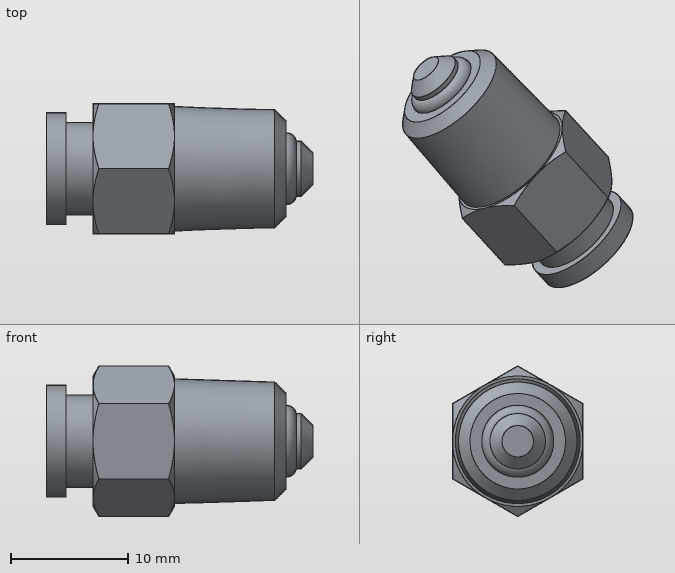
import cadquery as cq
import math

cap_end = 0.0
flange_end = 1.68
hex_start = 3.98
hex_end = 10.9
taper_end = 19.45
body_end = 20.43
ring_end = 21.3
tip_end = 22.73

flange_radius = 4.77
neck_radius = 3.95

across_flats = 11.11
hex_chamfer_angle = 30.0
taper_start_radius = 5.32
taper_end_radius = 5.05
shank_chamfer = body_end - taper_end
shank_face_radius = taper_end_radius - shank_chamfer

ring_radius = 3.07
tip_radius = 2.36
tip_chamfer = 1.02
ring_width = ring_end - body_end
ring_height = ring_radius - tip_radius
ring_round = (ring_width**2 + ring_height**2) / (2 * ring_height)
tip_cone_start = tip_end - tip_chamfer

flat_radius = across_flats / 2
corner_radius = flat_radius / math.cos(math.radians(30))
hex_chamfer_length = (corner_radius - flat_radius) * math.tan(math.radians(hex_chamfer_angle))


def revolve_about_x(profile):
    """Turn an XZ half profile, drawn above the axis, into a round solid."""
    return profile.revolve(360, (0, 0, 0), (1, 0, 0))


def turned(points):
    """Round solid from (x, radius) points of a straight-sided profile."""
    return revolve_about_x(cq.Workplane("XZ").polyline(points).close())


def make_cap():
    """Flanged cap whose neck meets the hexagon."""
    return turned([
        (cap_end, 0),
        (cap_end, flange_radius),
        (flange_end, flange_radius),
        (flange_end, neck_radius),
        (hex_start, neck_radius),
        (hex_start, 0),
    ])


def make_hexagon():
    """Hexagon with corners at +Z and -Z, its corners cut by a cone at both ends."""
    prism = (
        cq.Workplane("YZ", origin=(hex_start, 0, 0))
        .transformed(rotate=(0, 0, 90))
        .polygon(6, 2 * corner_radius)
        .extrude(hex_end - hex_start)
    )
    chamfer_envelope = turned([
        (hex_start, 0),
        (hex_start, flat_radius),
        (hex_start + hex_chamfer_length, corner_radius),
        (hex_end - hex_chamfer_length, corner_radius),
        (hex_end, flat_radius),
        (hex_end, 0),
    ])
    return prism.intersect(chamfer_envelope)


def make_body():
    """Hexagon and tapered, chamfered shank in one piece."""
    shank = turned([
        (hex_end, 0),
        (hex_end, taper_start_radius),
        (taper_end, taper_end_radius),
        (body_end, shank_face_radius),
        (body_end, 0),
    ])
    return make_hexagon().union(shank)


def make_ring():
    """Rounded ring around the tip, resting on the end face of the shank."""
    profile = (
        cq.Workplane("XZ")
        .moveTo(body_end, tip_radius)
        .lineTo(body_end, ring_radius)
        .radiusArc((ring_end, tip_radius), ring_round)
        .close()
    )
    return revolve_about_x(profile)


def make_tip():
    """Round tip that passes through the ring and ends in a 45 degree cone."""
    return turned([
        (body_end, 0),
        (body_end, tip_radius),
        (tip_cone_start, tip_radius),
        (tip_end, tip_radius - tip_chamfer),
        (tip_end, 0),
    ])


cap = make_cap()
body = make_body()
ring = make_ring()
tip = make_tip()

result = cq.Compound.makeCompound([cap.val(), body.val(), ring.val(), tip.val()])